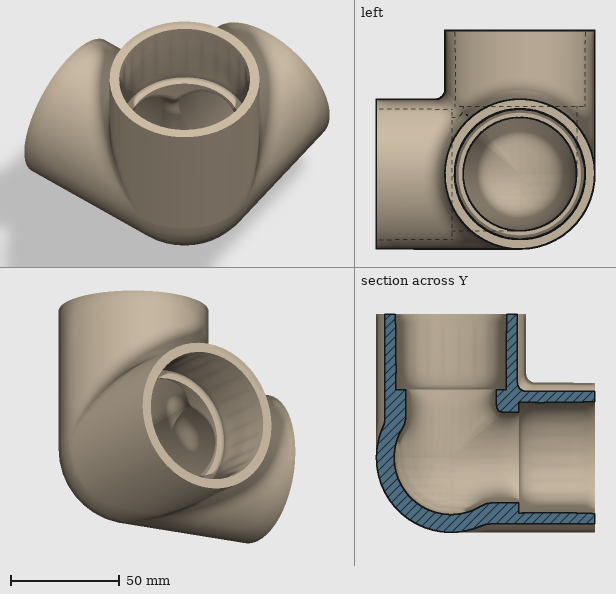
import cadquery as cq

overall_size = 101.22
outer_radius = 34.7
arm_length = overall_size - outer_radius
bore_radius = 26.25
crease_radius = 4.3

socket_depth = 35.0
socket_mouth_radius = 30.3
socket_taper = 0.2
socket_ledge_radius = socket_mouth_radius - socket_taper

position_tolerance = 0.01

corner_centre = cq.Vector(0, 0, 0)
arm_directions = [cq.Vector(-1, 0, 0), cq.Vector(0, 1, 0), cq.Vector(0, 0, 1)]


def is_crease(edge):
    """True for an edge in the mitre plane between two arms, on the inside of their bend."""
    middle = edge.positionAt(0.5)
    reaches = sorted(middle.dot(direction) for direction in arm_directions)
    second_reach, farthest_reach = reaches[1:]
    is_on_mitre = farthest_reach - second_reach < position_tolerance
    return is_on_mitre and second_reach > position_tolerance


def three_way_bar(radius):
    """Three round bars joined by a ball, with the creases between them rounded."""
    body = cq.Workplane("XY").sphere(radius)
    for direction in arm_directions:
        body = body.union(cq.Workplane(cq.Solid.makeCylinder(radius, arm_length, corner_centre, direction)))
    solid = body.solids().val()
    creases = [edge for edge in solid.Edges() if is_crease(edge)]
    return cq.Workplane(solid.fillet(crease_radius, creases))


def socket(direction):
    """Tapered pipe socket running from the mouth of one arm toward the corner."""
    mouth_centre = direction * arm_length
    inward = direction * -1
    cone = cq.Solid.makeCone(
        socket_mouth_radius, socket_ledge_radius, socket_depth, mouth_centre, inward
    )
    return cq.Workplane(cone)


result = three_way_bar(outer_radius).cut(three_way_bar(bore_radius))
for arm_direction in arm_directions:
    result = result.cut(socket(arm_direction))